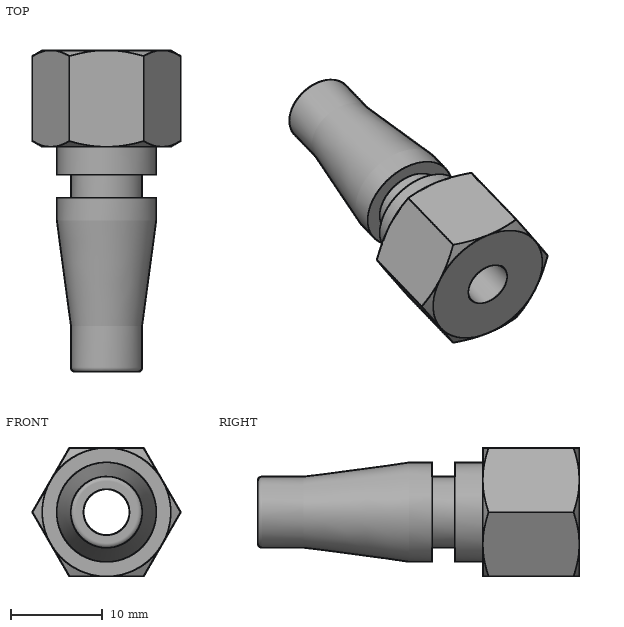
import cadquery as cq
import math

total_length = 35.0
across_flats = 14.0
across_corners = across_flats / math.cos(math.pi / 6)
head_length = 10.5
head_chamfer_angle = math.radians(30)

body_radius = 5.42
neck_radius = 3.9
bore_radius = 2.5
tip_fillet = 0.5
spigot_end = 5.0
taper_end = 16.5
groove_start = 18.97
groove_end = 21.45

head_start = total_length - head_length


def make_head():
    """Hexagon with corners on X, both ends trimmed by a cone touching the flats."""
    hexagon = (
        cq.Workplane("XZ", origin=(0, head_start, 0))
        .polygon(6, across_corners)
        .extrude(-head_length)
    )
    corner_radius = across_corners / 2
    face_radius = across_flats / 2
    chamfer_depth = (corner_radius - face_radius) * math.tan(head_chamfer_angle)
    envelope = (
        cq.Workplane("XY")
        .moveTo(0, head_start)
        .lineTo(face_radius, head_start)
        .lineTo(corner_radius, head_start + chamfer_depth)
        .lineTo(corner_radius, total_length - chamfer_depth)
        .lineTo(face_radius, total_length)
        .lineTo(0, total_length)
        .close()
        .revolve(360, (0, 0, 0), (0, 1, 0))
    )
    return hexagon.intersect(envelope)


def make_body():
    """Plug body: spigot, conical taper, collar, locking groove and shoulder."""
    return (
        cq.Workplane("XY")
        .lineTo(neck_radius - tip_fillet, 0)
        .radiusArc((neck_radius, tip_fillet), -tip_fillet)
        .lineTo(neck_radius, spigot_end)
        .lineTo(body_radius, taper_end)
        .lineTo(body_radius, groove_start)
        .lineTo(neck_radius, groove_start)
        .lineTo(neck_radius, groove_end)
        .lineTo(body_radius, groove_end)
        .lineTo(body_radius, head_start)
        .lineTo(0, head_start)
        .close()
        .revolve(360, (0, 0, 0), (0, 1, 0))
    )


def make_bore():
    return cq.Workplane("XZ").circle(bore_radius).extrude(-total_length)


centre_on_origin = (0, -total_length / 2, 0)
result = make_head().union(make_body()).cut(make_bore()).translate(centre_on_origin)